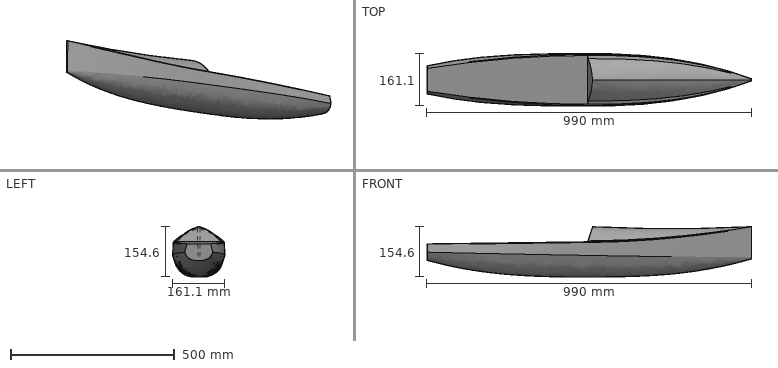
import cadquery as cq

length = 990.0
beam = 161.06
height = 154.11

cabin_x = 490.0

chine_half_beam = beam / 2
chine_stern_half = 43.0
chine_bow_half = 3.0
chine_aft_power = 2.9
chine_bow_power = 2.37
chine_stern_z = 76.0
chine_bow_z = 60.0
chine_sag_power = 1.4

sheer_half_beam = 78.0
sheer_stern_half = 36.5
sheer_bow_half = 3.5
sheer_aft_power = 2.0
sheer_bow_power = 2.5
sheer_stern_z = 99.0
sheer_cabin_z = 105.5
sheer_rise_power = 1.85

bevel_height = 2.5
roof_bow_height = 0.3
deck_to_sheer_width = 0.955
sheer_bow_z = height - bevel_height - roof_bow_height

keel_stern_z = 51.0
keel_bow_z = 55.5
keel_power = 2.7

bottom_shape = [(0.86, 0.47), (0.66, 0.79), (0.33, 0.98)]

cabin_to_sheer_width = 0.83
roof_shoulder_width = 0.52
roof_shoulder_height = 0.68
side_deck_rise = 0.06
crown_low_x = 745.0
crown_sag = 6.0
cabin_embed = 8.0
cabin_rake = 15.0
cabin_lead = 10.0

hull_stations = [0, 75, 150, 250, 370, cabin_x, 570, 650, 750, 850, 930, length]
cabin_stations = [cabin_x - cabin_lead, 560, 650, 750, 850, 930, length]


def departure(x, aft_power, bow_power):
    """Growth from 0 at the cabin face to 1 at the stern or bow."""
    if x < cabin_x:
        return ((cabin_x - x) / cabin_x) ** aft_power
    return ((x - cabin_x) / (length - cabin_x)) ** bow_power


def chine_half(x):
    end_half = chine_stern_half if x < cabin_x else chine_bow_half
    narrowing = departure(x, chine_aft_power, chine_bow_power)
    return chine_half_beam - (chine_half_beam - end_half) * narrowing


def chine_z(x):
    return chine_bow_z + (chine_stern_z - chine_bow_z) * (1 - x / length) ** chine_sag_power


def sheer_half(x):
    end_half = sheer_stern_half if x < cabin_x else sheer_bow_half
    narrowing = departure(x, sheer_aft_power, sheer_bow_power)
    return sheer_half_beam - (sheer_half_beam - end_half) * narrowing


def sheer_z(x):
    if x < cabin_x:
        return sheer_stern_z + (sheer_cabin_z - sheer_stern_z) * x / cabin_x
    rise = ((x - cabin_x) / (length - cabin_x)) ** sheer_rise_power
    return sheer_cabin_z + (sheer_bow_z - sheer_cabin_z) * rise


def deck_z(x):
    return sheer_z(x) + bevel_height


def deck_edge(x):
    return (sheer_half(x) * deck_to_sheer_width, deck_z(x))


def keel_z(x):
    end_z = keel_stern_z if x < cabin_x else keel_bow_z
    return end_z * departure(x, keel_power, keel_power)


def crown_z(x):
    """Height of the roof ridge, lowest at crown_low_x."""
    return height - crown_sag * (1 - ((x - crown_low_x) / (length - crown_low_x)) ** 2)


def section_plane(x):
    """Plane across the boat: local x runs along Y, local y along Z."""
    return cq.Plane(origin=(x, 0, 0), xDir=(0, 1, 0), normal=(1, 0, 0))


def mirrored(points):
    return [(-y, z) for y, z in reversed(points)]


def hull_section(x):
    """Outline with a flat deck, bevelled gunwales, straight topsides and a round bottom."""
    chine = (chine_half(x), chine_z(x))
    sheer = (sheer_half(x), sheer_z(x))
    topside = [chine, sheer, deck_edge(x)]
    depth = chine_z(x) - keel_z(x)
    bilge = [(chine[0] * width, chine[1] - depth * drop) for width, drop in bottom_shape]
    keel = (0, keel_z(x))
    inward = (chine[0] - bilge[0][0], bilge[0][1] - chine[1])
    outward = (inward[0], -inward[1])
    return (
        cq.Workplane(section_plane(x))
        .polyline(topside + mirrored(topside))
        .spline([(-y, z) for y, z in bilge] + [keel], tangents=[inward, (1, 0)], includeCurrent=True)
        .spline(bilge[::-1] + [chine], tangents=[(1, 0), outward], includeCurrent=True)
        .close()
        .val()
    )


def cabin_section(x):
    """Outline of the side decks and roof, with its foot buried in the hull."""
    half = sheer_half(x) * cabin_to_sheer_width
    base_z = deck_z(x) + (crown_z(x) - deck_z(x)) * side_deck_rise
    foot_z = deck_z(x) - cabin_embed
    roof_height = crown_z(x) - base_z
    side_deck = [(half, foot_z), deck_edge(x), (half, base_z)]
    shoulder_y = half * roof_shoulder_width
    shoulder_z = base_z + roof_height * roof_shoulder_height
    return (
        cq.Workplane(section_plane(x))
        .polyline(mirrored(side_deck) + side_deck)
        .spline([(shoulder_y, shoulder_z), (0, crown_z(x))], includeCurrent=True)
        .spline([(-shoulder_y, shoulder_z), (-half, base_z)], includeCurrent=True)
        .close()
        .val()
    )


def loft(sections):
    return cq.Workplane(cq.Solid.makeLoft(sections))


def cabin_face_cutter():
    """Solid that trims the cabin's aft end to a face leaning forward as it rises."""
    foot_z = deck_z(cabin_x) - cabin_embed
    top_z = height + cabin_embed
    slope = cabin_rake / (height - deck_z(cabin_x))
    foot_x = cabin_x - slope * cabin_embed
    top_x = cabin_x + slope * (top_z - deck_z(cabin_x))
    return (
        cq.Workplane("XZ")
        .polyline([(0, foot_z), (foot_x, foot_z), (top_x, top_z), (0, top_z)])
        .close()
        .extrude(beam / 2, both=True)
    )


hull = loft([hull_section(x) for x in hull_stations])
cabin = loft([cabin_section(x) for x in cabin_stations]).cut(cabin_face_cutter())
result = hull.union(cabin)